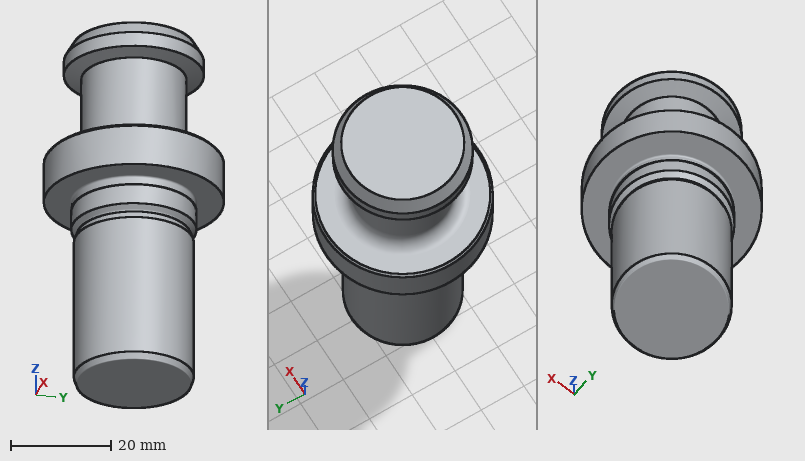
import cadquery as cq
import math

total_length = 74.0
pin_radius = 12.0
collar_radius = 12.5
relief_radius = 12.35
flange_radius = 18.0
neck_radius = 10.5
head_radius = 14.0

pin_top = 31.15
groove_bottom = 32.6
groove_top = 33.1
collar_bottom = 34.0
collar_top = 38.1
flange_bottom = 40.0
flange_top = 49.0

pin_chamfer_height = 1.5
pin_chamfer_angle = 20.0
pin_end_rounding = 0.2
collar_chamfer = collar_bottom - groove_top
relief_fillet = 0.4
collar_edge = 0.15
flange_chamfer = 0.5
neck_fillet = 3.0

pin_chamfer_width = (pin_chamfer_height - pin_end_rounding) * math.tan(math.radians(pin_chamfer_angle))
pin_end_radius = pin_radius - pin_chamfer_width

head_chamfer_height = 2.95
head_chamfer_angle = 30.0
head_rim_height = 3.0
head_underside_angle = 15.0

head_chamfer_bottom = total_length - head_chamfer_height
head_rim_bottom = head_chamfer_bottom - head_rim_height
head_top_radius = head_radius - head_chamfer_height * math.tan(math.radians(head_chamfer_angle))
head_underside_drop = (head_radius - neck_radius) * math.tan(math.radians(head_underside_angle))
neck_top = head_rim_bottom - head_underside_drop


def concave_arc_middle(center_radius, center_height, radius, below):
    """Middle point of a quarter arc on the axis side of its center, below or above it."""
    offset = radius * math.sqrt(0.5)
    height = center_height - offset if below else center_height + offset
    return (center_radius - offset, height)


relief_arc_middle = concave_arc_middle(
    relief_radius + relief_fillet, flange_bottom - relief_fillet, relief_fillet, below=False
)
neck_arc_middle = concave_arc_middle(
    neck_radius + neck_fillet, flange_top + neck_fillet, neck_fillet, below=True
)

groove_arc_angle = math.radians(45)
groove_arc_radius = (groove_top - groove_bottom) / math.sin(groove_arc_angle)
groove_arc_center_radius = collar_radius - collar_chamfer + groove_arc_radius * math.cos(groove_arc_angle)
groove_radius = groove_arc_center_radius - groove_arc_radius
groove_arc_middle = (
    groove_arc_center_radius - groove_arc_radius * math.cos(groove_arc_angle / 2),
    groove_bottom + groove_arc_radius * math.sin(groove_arc_angle / 2),
)

profile = (
    cq.Workplane("XZ")
    .moveTo(0, 0)
    .lineTo(pin_end_radius - pin_end_rounding, 0)
    .tangentArcPoint((pin_end_radius, pin_end_rounding), relative=False)
    .lineTo(pin_radius, pin_chamfer_height)
    .lineTo(pin_radius, pin_top)
    .lineTo(groove_radius, groove_bottom)
    .threePointArc(groove_arc_middle, (collar_radius - collar_chamfer, groove_top))
    .lineTo(collar_radius, collar_bottom)
    .lineTo(collar_radius, collar_top)
    .lineTo(relief_radius, collar_top + collar_edge)
    .lineTo(relief_radius, flange_bottom - relief_fillet)
    .threePointArc(relief_arc_middle, (relief_radius + relief_fillet, flange_bottom))
    .lineTo(flange_radius, flange_bottom)
    .lineTo(flange_radius, flange_top - flange_chamfer)
    .lineTo(flange_radius - flange_chamfer, flange_top)
    .lineTo(neck_radius + neck_fillet, flange_top)
    .threePointArc(neck_arc_middle, (neck_radius, flange_top + neck_fillet))
    .lineTo(neck_radius, neck_top)
    .lineTo(head_radius, head_rim_bottom)
    .lineTo(head_radius, head_chamfer_bottom)
    .lineTo(head_top_radius, total_length)
    .lineTo(0, total_length)
    .close()
)

result = profile.revolve(360, (0, 0, 0), (0, 1, 0))